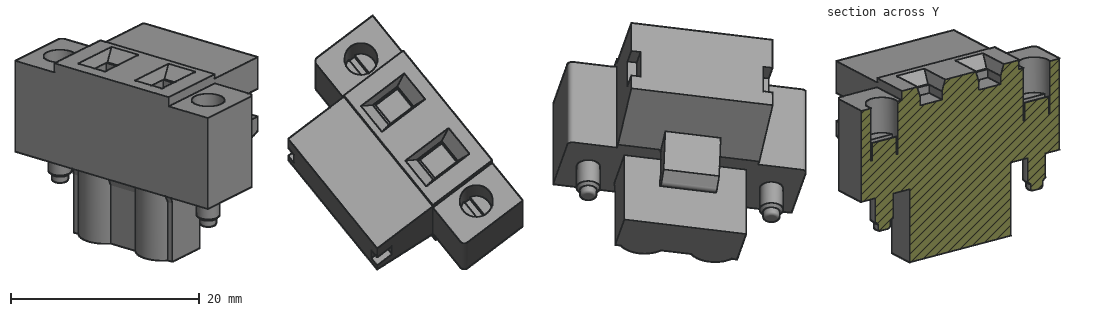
import cadquery as cq
import math


HOUSING_LENGTH = 25.82
HOUSING_DEPTH = 8.0
WING_HEIGHT = 10.45
WING_CORNER_RADIUS = 0.55
CENTRE_LENGTH = 15.3
CENTRE_HEIGHT = 11.5

OVERALL_DEPTH = 15.5
REAR_HEIGHT = 11.0
REAR_SLOPE_START_Y = 8.55
REAR_SLOPE_END_Z = 2.5
NOTCH_DEPTH = 1.0
NOTCH_LENGTH = 2.0
NOTCH_BOTTOM = 4.17
NOTCH_TOP = 7.35

POLE_PITCH = 7.62
POLE_POSITIONS = (-POLE_PITCH / 2, POLE_PITCH / 2)
PLUG_LENGTH = 13.2
PLUG_FRONT_Y = 2.0
PLUG_BACK_Y = 6.8
PLUG_HEIGHT = 8.35
PLUG_FLARE_HEIGHT = 1.64
PLUG_FLARE_DEPTH = 0.45
RIB_PROJECTION = 1.0
RIB_RADIUS = 2.9

FUNNEL_TOP_LENGTH = 3.6
FUNNEL_TOP_WIDTH = 5.82
FUNNEL_CENTRE_Y = 4.38
FUNNEL_DEPTH = 1.25
FUNNEL_BOTTOM_LENGTH = 2.77
FUNNEL_BOTTOM_WIDTH = FUNNEL_TOP_WIDTH - 2 * FUNNEL_DEPTH
WELL_DEPTH = 0.95
LEDGE_WIDTH = 0.24

SCREW_X = 9.91
SCREW_Y = 3.92
SCREW_HOLE_DIAMETER = 3.5
SCREW_HOLE_DEPTH = 6.0
HEAD_DIAMETER = 3.3
HEAD_HEIGHT = 2.0
DRIVER_SLOT_WIDTH = 0.8
DRIVER_SLOT_DEPTH = 0.8
SHANK_DIAMETER = 2.5
SHANK_LENGTH = 2.72
TIP_DIAMETER = 1.8
TIP_SHOULDER_Z = -3.05
TIP_END_Z = -3.87
TIP_ROUNDING = 0.32

LATCH_LENGTH = 6.0
LATCH_FRONT_Y = 8.5
LATCH_BACK_TOP_Y = 10.83
LATCH_BACK_TOP_Z = 0.82
LATCH_BACK_BOTTOM_Y = 10.0
LATCH_BACK_BOTTOM_Z = -3.56
LATCH_NECK_Z = -2.93
LATCH_ROOT_RADIUS = 0.3
LATCH_TOE_RADIUS = 0.6
LATCH_TOE_Y = 8.53
LATCH_TOE_Z = -3.98
LATCH_TOE_ANGLE = 48.0


def box(x_range, y_range, z_range):
    """Box spanning the given (low, high) limits along each axis."""
    sizes = [high - low for low, high in (x_range, y_range, z_range)]
    corner = (x_range[0], y_range[0], z_range[0])
    return cq.Workplane("XY").box(*sizes, centered=False).translate(corner)


def side_profile(points):
    """Start a closed outline of (y, z) points."""
    return cq.Workplane("YZ").polyline(points).close()


def centred_x(length):
    return (-length / 2, length / 2)


def make_housing():
    wings = box(centred_x(HOUSING_LENGTH), (0, HOUSING_DEPTH), (0, WING_HEIGHT))
    wings = wings.edges("|Z and >Y").fillet(WING_CORNER_RADIUS)
    centre = box(centred_x(CENTRE_LENGTH), (0, HOUSING_DEPTH), (0, CENTRE_HEIGHT))
    return wings.union(centre)


def make_rear_block():
    outline = [
        (HOUSING_DEPTH - WING_CORNER_RADIUS, 0),
        (REAR_SLOPE_START_Y, 0),
        (OVERALL_DEPTH, REAR_SLOPE_END_Z),
        (OVERALL_DEPTH, REAR_HEIGHT),
        (HOUSING_DEPTH - WING_CORNER_RADIUS, REAR_HEIGHT),
    ]
    block = side_profile(outline).extrude(CENTRE_LENGTH / 2, both=True)
    notch_y = (OVERALL_DEPTH - NOTCH_LENGTH, OVERALL_DEPTH)
    side_x = CENTRE_LENGTH / 2
    for x_range in ((-side_x, NOTCH_DEPTH - side_x), (side_x - NOTCH_DEPTH, side_x)):
        block = block.cut(box(x_range, notch_y, (NOTCH_BOTTOM, NOTCH_TOP)))
    return block


def make_plug():
    outline = [
        (PLUG_BACK_Y, 0),
        (PLUG_BACK_Y, -PLUG_HEIGHT),
        (PLUG_FRONT_Y, -PLUG_HEIGHT),
        (PLUG_FRONT_Y, -PLUG_FLARE_HEIGHT),
        (PLUG_FRONT_Y - PLUG_FLARE_DEPTH, 0),
    ]
    plug = side_profile(outline).extrude(PLUG_LENGTH / 2, both=True)
    rib_centre_y = PLUG_FRONT_Y - RIB_PROJECTION + RIB_RADIUS
    for x in POLE_POSITIONS:
        rib = cq.Workplane("XY").center(x, rib_centre_y).circle(RIB_RADIUS).extrude(-PLUG_HEIGHT)
        front_zone = box(centred_x(PLUG_LENGTH), (0, PLUG_FRONT_Y), (-PLUG_HEIGHT, 0))
        plug = plug.union(rib.intersect(front_zone))
    return plug


def make_latch():
    """Hook whose toe is a round end, standing out forward of the neck."""
    angle = math.radians(LATCH_TOE_ANGLE)
    sine = LATCH_TOE_RADIUS * math.sin(angle)
    cosine = LATCH_TOE_RADIUS * math.cos(angle)
    return (
        cq.Workplane("YZ")
        .moveTo(LATCH_FRONT_Y - LATCH_ROOT_RADIUS, REAR_SLOPE_END_Z)
        .lineTo(LATCH_FRONT_Y - LATCH_ROOT_RADIUS, 0)
        .radiusArc((LATCH_FRONT_Y, -LATCH_ROOT_RADIUS), LATCH_ROOT_RADIUS)
        .lineTo(LATCH_FRONT_Y, LATCH_NECK_Z)
        .lineTo(LATCH_TOE_Y - sine, LATCH_TOE_Z + cosine)
        .threePointArc(
            (LATCH_TOE_Y - cosine, LATCH_TOE_Z - sine),
            (LATCH_TOE_Y + sine, LATCH_TOE_Z - cosine),
        )
        .lineTo(LATCH_BACK_BOTTOM_Y, LATCH_BACK_BOTTOM_Z)
        .lineTo(LATCH_BACK_TOP_Y, LATCH_BACK_TOP_Z)
        .lineTo(LATCH_BACK_TOP_Y, REAR_SLOPE_END_Z)
        .close()
        .extrude(LATCH_LENGTH / 2, both=True)
    )


def make_funnel(x):
    """Tapered mouth with a shallow well below it that leaves a ledge along its back."""
    top = cq.Workplane("XY", origin=(x, FUNNEL_CENTRE_Y, CENTRE_HEIGHT))
    funnel = (
        top.rect(FUNNEL_TOP_LENGTH, FUNNEL_TOP_WIDTH)
        .workplane(offset=-FUNNEL_DEPTH)
        .rect(FUNNEL_BOTTOM_LENGTH, FUNNEL_BOTTOM_WIDTH)
        .loft(ruled=True)
    )
    half_length = FUNNEL_BOTTOM_LENGTH / 2
    half_width = FUNNEL_BOTTOM_WIDTH / 2
    well_top = CENTRE_HEIGHT - FUNNEL_DEPTH
    well = box(
        (x - half_length, x + half_length),
        (FUNNEL_CENTRE_Y - half_width, FUNNEL_CENTRE_Y + half_width - LEDGE_WIDTH),
        (well_top - WELL_DEPTH, well_top),
    )
    return funnel.union(well)


def vertical_cylinder(x, diameter, bottom, top):
    base = cq.Workplane("XY", origin=(x, SCREW_Y, bottom))
    return base.circle(diameter / 2).extrude(top - bottom)


def make_screw_hole(x):
    return vertical_cylinder(x, SCREW_HOLE_DIAMETER, WING_HEIGHT - SCREW_HOLE_DEPTH, WING_HEIGHT)


def make_screw_head(x):
    seat = WING_HEIGHT - SCREW_HOLE_DEPTH
    top = seat + HEAD_HEIGHT
    head = vertical_cylinder(x, HEAD_DIAMETER, seat, top)
    half_length = HEAD_DIAMETER / 2
    half_slot = DRIVER_SLOT_WIDTH / 2
    slot = box(
        (x - half_length, x + half_length),
        (SCREW_Y - half_slot, SCREW_Y + half_slot),
        (top - DRIVER_SLOT_DEPTH, top),
    )
    return head.cut(slot)


def make_screw_end(x):
    """Shank below the housing, turned down to a thinner tip."""
    shank_radius = SHANK_DIAMETER / 2
    tip_radius = TIP_DIAMETER / 2
    profile = (
        cq.Workplane("XZ")
        .lineTo(shank_radius, 0)
        .lineTo(shank_radius, -SHANK_LENGTH)
        .lineTo(tip_radius, TIP_SHOULDER_Z)
        .lineTo(tip_radius, TIP_END_Z + TIP_ROUNDING)
        .radiusArc((tip_radius - TIP_ROUNDING, TIP_END_Z), TIP_ROUNDING)
        .lineTo(0, TIP_END_Z)
        .close()
    )
    return profile.revolve(360, (0, 0), (0, 1)).translate((x, SCREW_Y, 0))


result = make_housing().union(make_rear_block()).union(make_plug()).union(make_latch())
for pole_x in POLE_POSITIONS:
    result = result.cut(make_funnel(pole_x))
for screw_x in (-SCREW_X, SCREW_X):
    result = result.cut(make_screw_hole(screw_x))
    result = result.union(make_screw_head(screw_x)).union(make_screw_end(screw_x))